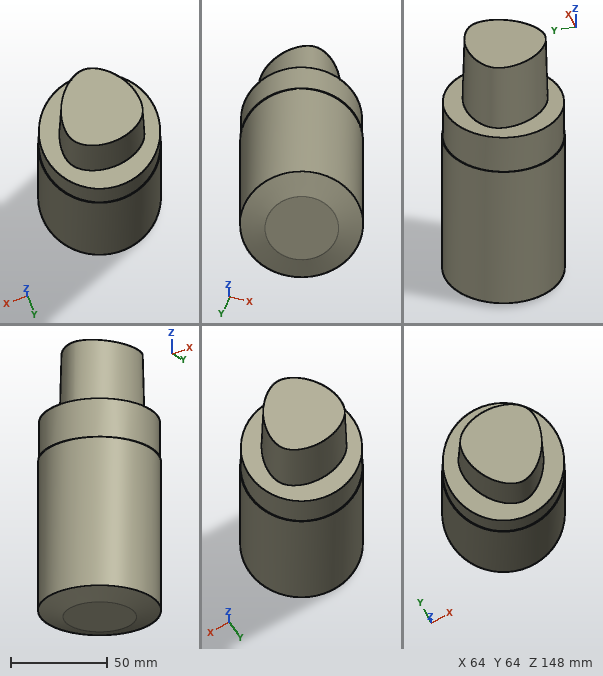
import cadquery as cq
import math

total_height = 148.0
shank_height = 38.0
collar_height = 21.9
collar_diameter = 63.0
body_diameter = 64.0
tip_height = 3.5
tip_diameter = 38.2

shank_base_diameter = 44.3
shank_taper = 1 / 20
shank_eccentricity = 1.3
curve_samples = 72

shank_base_z = total_height - shank_height
collar_base_z = shank_base_z - collar_height


def round_body():
    """Body, collar and conical lower end turned about Z."""
    return (
        cq.Workplane("XZ")
        .lineTo(tip_diameter / 2, 0)
        .lineTo(body_diameter / 2, tip_height)
        .lineTo(body_diameter / 2, collar_base_z)
        .lineTo(collar_diameter / 2, collar_base_z)
        .lineTo(collar_diameter / 2, shank_base_z)
        .lineTo(0, shank_base_z)
        .close()
        .revolve(360, (0, 0), (0, 1))
    )


def lobed_point(turn, diameter):
    """Point on a constant-width three-lobed outline; turn runs from 0 to 1."""
    angle = 2 * math.pi * turn - math.pi / 2
    reach = diameter / 2 + shank_eccentricity * math.sin(3 * angle)
    slope = 3 * shank_eccentricity * math.cos(3 * angle)
    return (
        reach * math.cos(angle) - slope * math.sin(angle),
        reach * math.sin(angle) + slope * math.cos(angle),
    )


def lobed_outline(workplane, diameter):
    points = [lobed_point(i / curve_samples, diameter) for i in range(curve_samples)]
    return workplane.spline(points, periodic=True).close()


def lobed_shank():
    """Shank lofted from the collar face to its smaller flat top."""
    top_diameter = shank_base_diameter - shank_taper * shank_height
    base = lobed_outline(cq.Workplane("XY").workplane(offset=shank_base_z), shank_base_diameter)
    return lobed_outline(base.workplane(offset=shank_height), top_diameter).loft(combine=True)


result = round_body().union(lobed_shank())